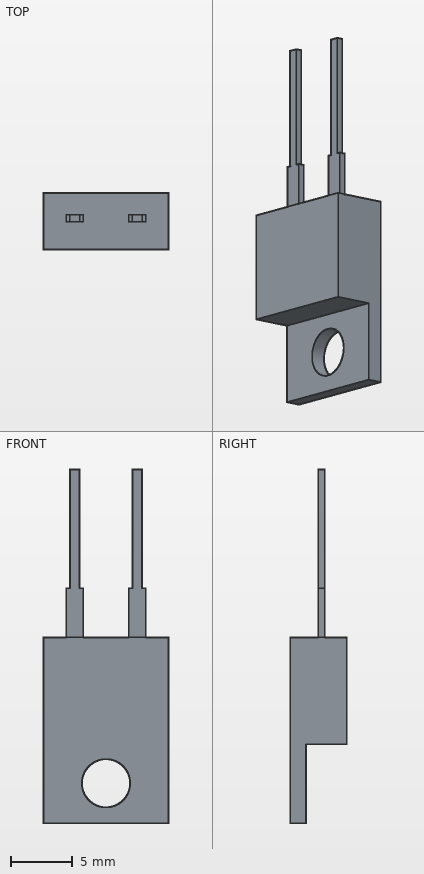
import cadquery as cq

body_width = 10.16
body_depth = 4.6
total_height = 28.75
package_height = 15.1

tab_thickness = 1.3
tab_height = 6.4
hole_diameter = 3.9
hole_height = 3.25

lead_pitch = 5.08
lead_thickness = 0.55
lead_center_y = 2.55
shoulder_width = 1.4
shoulder_height = 4.0
pin_width = 0.8


def make_package():
    """Body with the thin tab below it, extruded across X from its side profile."""
    return (
        cq.Workplane("YZ")
        .moveTo(0, 0)
        .lineTo(tab_thickness, 0)
        .lineTo(tab_thickness, tab_height)
        .lineTo(body_depth, tab_height)
        .lineTo(body_depth, package_height)
        .lineTo(0, package_height)
        .close()
        .extrude(body_width / 2, both=True)
    )


def make_mounting_hole():
    """Cylinder that passes through the tab along Y."""
    return (
        cq.Workplane("XZ")
        .center(0, hole_height)
        .circle(hole_diameter / 2)
        .extrude(-tab_thickness)
    )


def make_lead(x):
    """Flat lead at the given X: a wide shoulder carrying a narrow pin."""
    pin_height = total_height - package_height - shoulder_height
    return (
        cq.Workplane("XY", origin=(x, lead_center_y, package_height))
        .rect(shoulder_width, lead_thickness)
        .extrude(shoulder_height)
        .faces(">Z")
        .workplane()
        .rect(pin_width, lead_thickness)
        .extrude(pin_height)
    )


result = make_package().cut(make_mounting_hole())
for side in (-1, 1):
    result = result.union(make_lead(side * lead_pitch / 2))